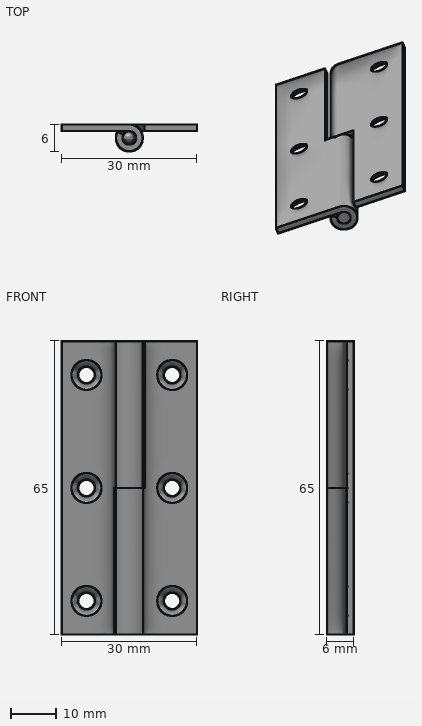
import cadquery as cq
import math

length = 65.0
width = 30.0
leaf_thickness = 1.5
knuckle_radius = 3.0
bore_radius = knuckle_radius - leaf_thickness
leaf_edge = 3.4
curl_end_angle = 152.0

screw_hole_diameter = 3.65
countersink_diameter = 6.6
screw_hole_x = 9.5
screw_hole_pitch = 25.0

pin_end_recess = 3.0


def polar(radius, degrees):
    angle = math.radians(degrees)
    return radius * math.cos(angle), radius * math.sin(angle)


def make_plate():
    """Flat full-length part of the left leaf, ending short of the knuckle."""
    plate_width = width / 2 - leaf_edge
    return cq.Workplane("XY").box(plate_width, leaf_thickness, length, centered=False).translate(
        (-width / 2, bore_radius, -length / 2)
    )


def make_knuckle():
    """Upper-half strip that leaves the plate and rolls clockwise around the axis."""
    middle_angle = (90 + curl_end_angle - 360) / 2
    return (
        cq.Workplane("XY")
        .moveTo(-leaf_edge, knuckle_radius)
        .lineTo(0, knuckle_radius)
        .threePointArc(polar(knuckle_radius, middle_angle), polar(knuckle_radius, curl_end_angle))
        .lineTo(*polar(bore_radius, curl_end_angle))
        .threePointArc(polar(bore_radius, middle_angle), (0, bore_radius))
        .lineTo(-leaf_edge, bore_radius)
        .close()
        .extrude(length / 2)
    )


def make_screw_hole(z):
    """Cone through the whole plate, wide on the knuckle side."""
    return cq.Workplane(
        cq.Solid.makeCone(
            countersink_diameter / 2,
            screw_hole_diameter / 2,
            leaf_thickness,
            pnt=cq.Vector(-screw_hole_x, bore_radius, z),
            dir=cq.Vector(0, 1, 0),
        )
    )


def make_leaf():
    leaf = make_plate().union(make_knuckle())
    for row in (-1, 0, 1):
        leaf = leaf.cut(make_screw_hole(row * screw_hole_pitch))
    return leaf


def make_pin():
    """Round pin, flush at the bottom, with a hemispherical tip."""
    dome_base_z = length / 2 - pin_end_recess - bore_radius
    return (
        cq.Workplane("XZ")
        .moveTo(0, -length / 2)
        .lineTo(bore_radius, -length / 2)
        .lineTo(bore_radius, dome_base_z)
        .radiusArc((0, dome_base_z + bore_radius), -bore_radius)
        .close()
        .revolve(360, (0, 0), (0, 1))
    )


left_leaf = make_leaf()
right_leaf = make_leaf().rotate((0, 0, 0), (0, 1, 0), 180)
pin = make_pin()

result = cq.Compound.makeCompound([left_leaf.val(), right_leaf.val(), pin.val()])